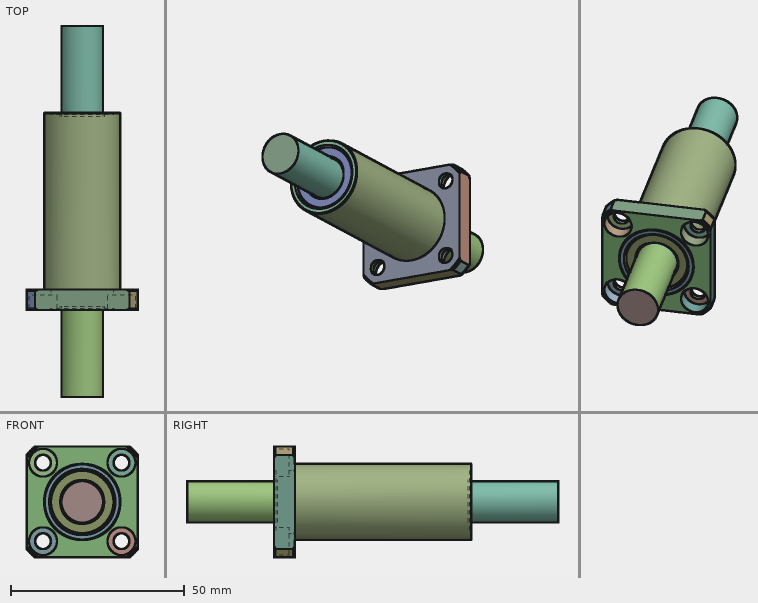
import cadquery as cq
import math

shaft_length = 107.0
shaft_diameter = 12.0

bushing_length = 56.9
bushing_diameter = 22.0
bushing_end_chamfer = 0.2
flange_width = 32.0
flange_thickness = 6.0
flange_corner_diameter = 41.9
flange_edge_chamfer = 0.5

bolt_circle_diameter = 32.0
hole_diameter = 4.5
counterbore_diameter = 8.0
counterbore_depth = 4.4

recess_mouth_diameter = 19.2
recess_diameter = 18.0
recess_depth = 0.5
seal_gap_diameter = 12.7
seal_gap_depth = 0.5

bushing_start = -bushing_length / 2
hole_offset = bolt_circle_diameter / 2 * math.cos(math.radians(45))


def cylinder(diameter, start, length, x=0.0, z=0.0):
    """Solid cylinder along +Y from the plane Y = start."""
    base = cq.Vector(x, start, z)
    axis = cq.Vector(0, 1, 0)
    return cq.Workplane(cq.Solid.makeCylinder(diameter / 2, length, base, axis))


def make_flange():
    """Square plate with its corners rounded by an edge-chamfered disc, bored for the bushing."""
    square = cq.Workplane("XY").box(flange_width, flange_thickness, flange_width)
    plate = square.translate((0, bushing_start + flange_thickness / 2, 0))
    disc = (
        cylinder(flange_corner_diameter, bushing_start, flange_thickness)
        .faces("<Y or >Y")
        .chamfer(flange_edge_chamfer)
    )
    bore = cylinder(bushing_diameter, bushing_start, flange_thickness)
    return plate.intersect(disc).cut(bore)


def make_mounting_holes():
    """Cutters for the through holes and their counterbores in the -Y face."""
    cutters = cq.Workplane("XY")
    for x in (-hole_offset, hole_offset):
        for z in (-hole_offset, hole_offset):
            cutters = cutters.add(cylinder(hole_diameter, bushing_start, flange_thickness, x, z))
            cutters = cutters.add(cylinder(counterbore_diameter, bushing_start, counterbore_depth, x, z))
    return cutters.combine()


def make_seal_recess():
    """Tapered recess and narrow gap around the shaft at the -Y end of the bushing."""
    gap_floor = bushing_start + recess_depth + seal_gap_depth
    profile = [
        (shaft_diameter / 2, bushing_start),
        (recess_mouth_diameter / 2, bushing_start),
        (recess_diameter / 2, bushing_start + recess_depth),
        (seal_gap_diameter / 2, bushing_start + recess_depth),
        (seal_gap_diameter / 2, gap_floor),
        (shaft_diameter / 2, gap_floor),
    ]
    return cq.Workplane("XY").polyline(profile).close().revolve(360, (0, 0, 0), (0, 1, 0))


body = (
    cylinder(bushing_diameter, bushing_start, bushing_length)
    .faces("<Y or >Y")
    .chamfer(bushing_end_chamfer)
)
shaft = cylinder(shaft_diameter, -shaft_length / 2, shaft_length)
seal_recess = make_seal_recess()

result = (
    body.union(make_flange())
    .union(shaft)
    .cut(make_mounting_holes())
    .cut(seal_recess)
    .cut(seal_recess.mirror("XZ"))
)